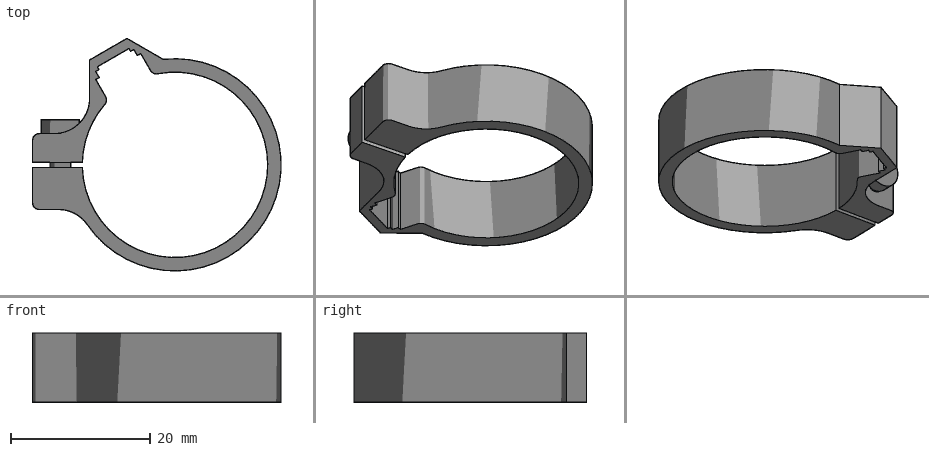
import cadquery as cq
import math

width = 10.0
outer_radius = 15.25
bore_radius = 13.28

ear_left = -20.45
ear_top = 4.5
ear_bottom = -6.43
ear_corner_radius = 1.0
ear_blend_radius = 5.0
slit_width = 0.7

pocket_tilt = 30.0
housing_height = 19.17
housing_side = 6.2
pocket_lip_radius = 1.0
pocket_steps = [(2.6, 17.75), (3.15, 17.28), (3.7, 16.28)]

tilt_angle = math.radians(pocket_tilt)
wall_x = -(housing_side / 2 * math.cos(tilt_angle) + housing_height * math.sin(tilt_angle))
upper_blend_x = wall_x - ear_blend_radius
upper_blend_y = ear_top + ear_blend_radius

screw_x = -16.45
shank_diameter = 3.0
head_diameter = 5.5
head_height = 2.0
head_clearance_diameter = 5.8


def prism(sketch):
    """Extrude an XY outline over the full width, centred on the XY plane."""
    return sketch.extrude(width).translate((0, 0, -width / 2))


def y_cylinder(diameter, y_start, y_end):
    """Cylinder on the screw axis between two Y positions."""
    base = cq.Workplane("XZ", origin=(screw_x, y_end, 0))
    return base.circle(diameter / 2).extrude(y_end - y_start)


def tilted(body):
    """Turn a body drawn upright along +Y onto the pocket centreline."""
    return body.rotate((0, 0, 0), (0, 0, 1), pocket_tilt)


def make_housing():
    """Upper half of a regular hexagon, tapering to the ring axis."""
    half_side = housing_side / 2
    shoulder_height = housing_height - housing_side * math.sin(math.radians(60))
    points = [
        (0, 0),
        (housing_side, shoulder_height),
        (half_side, housing_height),
        (-half_side, housing_height),
        (-housing_side, shoulder_height),
    ]
    return tilted(prism(cq.Workplane("XY").polyline(points).close()))


def make_ears():
    """Ear block, blended into the ring below and left straight at the upper blend."""
    lower_center_y = ear_bottom - ear_blend_radius
    center_distance = outer_radius + ear_blend_radius
    lower_center_x = -math.sqrt(center_distance**2 - lower_center_y**2)
    ring_share = outer_radius / center_distance
    ring_tangent = (lower_center_x * ring_share, lower_center_y * ring_share)

    profile = (
        cq.Workplane("XY")
        .moveTo(ear_left, ear_bottom)
        .lineTo(lower_center_x, ear_bottom)
        .radiusArc(ring_tangent, ear_blend_radius)
        .lineTo(0, 0)
        .lineTo(wall_x, upper_blend_y)
        .lineTo(upper_blend_x, ear_top)
        .lineTo(ear_left, ear_top)
        .close()
    )
    return prism(profile).edges("|Z and <X").fillet(ear_corner_radius)


def make_opening():
    """Bore joined to the stepped pocket, with the pocket's lips rounded."""
    opening = prism(cq.Workplane("XY").circle(bore_radius))
    for half_width, height in pocket_steps:
        step = prism(cq.Workplane("XY").center(0, height / 2).rect(2 * half_width, height))
        opening = opening.union(step)
    lip_half_width = pocket_steps[-1][0]
    lip_height = math.sqrt(bore_radius**2 - lip_half_width**2)
    for side in (-1, 1):
        lip_point = (side * lip_half_width, lip_height, 0)
        lip = cq.selectors.NearestToPointSelector(lip_point)
        opening = opening.edges("|Z").edges(lip).fillet(pocket_lip_radius)
    return tilted(opening)


body = prism(cq.Workplane("XY").circle(outer_radius))
body = body.union(make_housing()).union(make_ears()).cut(make_opening())

upper_blend = cq.Workplane("XY").center(upper_blend_x, upper_blend_y).circle(ear_blend_radius)
body = body.cut(prism(upper_blend))

slit_length = -ear_left
slit = prism(cq.Workplane("XY").center(ear_left / 2, 0).rect(slit_length, slit_width))
body = body.cut(slit)

body = body.cut(y_cylinder(head_clearance_diameter, ear_top, housing_height))

head = y_cylinder(head_diameter, ear_top, ear_top + head_height)
shank = y_cylinder(shank_diameter, -slit_width / 2, slit_width / 2)
result = body.union(head).union(shank)